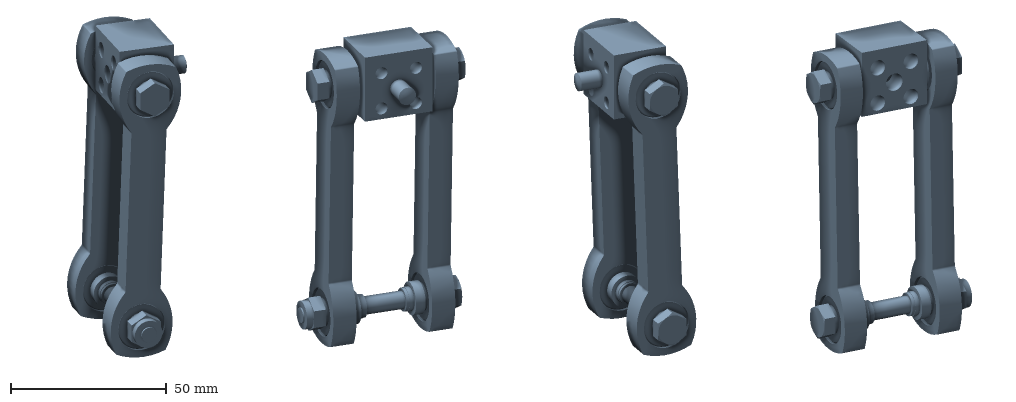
import cadquery as cq
import math

overall_height = 102.9
pivot_spacing = 80.3
link_tilt = 2.1
tilt_angle = math.radians(link_tilt)

link_width = 8.0
link_inner_face = 13.1
link_outer_face = link_inner_face + link_width
head_half_width = 10.5
head_side_radius = 19.6
head_end_radius = 21.0
head_end_offset = head_end_radius - head_half_width
neck_width = 11.9
link_lowest_point = -(pivot_spacing - head_end_offset) * math.cos(tilt_angle) - head_end_radius
head_corner_fillet = 0.6
neck_corner_fillet = 1.0
bearing_diameter = 16.0
bearing_recess = 0.7
bearing_chamfer = 0.4

axle_shift = -0.1
collar_outer_face = 12.8
shoulder_diameter = 9.5
hex_inner_face = 21.5
hex_outer_face = 25.6
hex_across_flats = 10.0
hex_corner_diameter = hex_across_flats / math.cos(math.pi / 6)
hex_face_diameter = 9.9
hex_chamfer_height = 0.3

block_width = 23.4
block_back = 11.3
block_front = -7.1
block_depth = block_back - block_front
block_top = overall_height + link_lowest_point
block_height = 22.2
block_collar_diameter = 14.0
screw_hole_diameter = 4.1
screw_counterbore_diameter = 5.2
screw_counterbore_depth = 9.3
screw_spacing_x = 11.9
screw_spacing_z = 12.2

pin_diameter = 6.0
pin_height = -0.2
pin_back_end = 19.5
pin_length = 20.0
pin_dome_height = 0.7

rod_diameter = 6.0
rod_collar_diameter = 11.0
rod_collar_inner_face = 9.5
rod_step_diameter = 8.0
rod_step_inner_face = 6.8
rod_tip_diameter = 7.7
rod_tip_length = 1.0
stud_diameter = 9.4
stud_end = 27.9
stud_tip_diameter = 5.0
stud_tip_end = 28.4


def cylinder_x(diameter, x_start, x_end, y=0, z=0):
    """Cylinder parallel to the X axis between two X positions."""
    return cq.Workplane("YZ", origin=(x_start, y, z)).circle(diameter / 2).extrude(x_end - x_start)


def on_side(body, side):
    """Body built at +X (side 1), or its mirror image at -X (side -1)."""
    return body if side > 0 else body.mirror("YZ")



def head_outline():
    """Barrel-shaped link head about the X axis: two side discs and one end disc in common."""
    side_offset = head_side_radius - head_half_width
    head = cylinder_x(2 * head_end_radius, link_inner_face, link_outer_face, z=-head_end_offset)
    for y in (-side_offset, side_offset):
        head = head.intersect(cylinder_x(2 * head_side_radius, link_inner_face, link_outer_face, y=y))
    return head.edges("|X").edges(">Z").fillet(head_corner_fillet)


def bearing_cut():
    """Bore for the axle, with the sunk and chamfered bearing face on both link sides."""
    seat = cylinder_x(bearing_diameter, link_inner_face, link_outer_face)
    bearing = cylinder_x(
        bearing_diameter, link_inner_face + bearing_recess, link_outer_face - bearing_recess
    ).faces("<X or >X").chamfer(bearing_chamfer)
    bore = cylinder_x(shoulder_diameter, link_inner_face, link_outer_face)
    return seat.cut(bearing.cut(bore))


def make_link(side):
    """Link with its upper pivot on the X axis."""
    upper_head = head_outline()
    lower_head = upper_head.mirror("XY").translate((0, 0, -pivot_spacing))
    neck = cq.Workplane("XY").box(link_width, neck_width, pivot_spacing).translate(
        (link_inner_face + link_width / 2, 0, -pivot_spacing / 2)
    )
    link = neck.union(upper_head).union(lower_head)

    neck_corners = cq.selectors.BoxSelector(
        (link_inner_face - 1, -neck_width / 2 - 0.1, -pivot_spacing + head_half_width),
        (link_outer_face + 1, neck_width / 2 + 0.1, -head_half_width),
    )
    link = link.edges("|X").edges(neck_corners).fillet(neck_corner_fillet)

    for z in (0, -pivot_spacing):
        link = link.cut(bearing_cut().translate((0, 0, z)))
    return on_side(link.rotate((0, 0, 0), (1, 0, 0), -link_tilt), side)



def make_hex(side):
    """Hexagon with a corner pointing up; the -X one has its outer corners turned down."""
    hexagon = (
        cq.Workplane("YZ", origin=(hex_inner_face, 0, 0))
        .polygon(6, hex_corner_diameter)
        .extrude(hex_outer_face - hex_inner_face)
        .rotate((0, 0, 0), (1, 0, 0), 90)
    )
    if side < 0:
        turned = cylinder_x(hex_corner_diameter, hex_inner_face, hex_outer_face)
        turned = turned.faces(">X").chamfer(
            hex_chamfer_height, (hex_corner_diameter - hex_face_diameter) / 2
        )
        hexagon = hexagon.intersect(turned)
    return on_side(hexagon, side)


def make_axle_end(side):
    """Shoulder that passes through the link, with the hexagon outside it."""
    shoulder = cylinder_x(shoulder_diameter, side * collar_outer_face, side * hex_inner_face)
    return shoulder.union(make_hex(side))



def make_block():
    block = cq.Workplane("XY").box(block_width, block_depth, block_height).translate(
        (0, block_back - block_depth / 2, block_top - block_height / 2)
    )
    for side in (-1, 1):
        collar = cylinder_x(block_collar_diameter, side * block_width / 4, side * collar_outer_face)
        trunnion = collar.union(make_axle_end(side))
        block = block.union(trunnion.translate((axle_shift, 0, 0)))

    front = cq.Workplane("XZ", origin=(0, block_front, pin_height))
    screw_centres = front.rect(screw_spacing_x, screw_spacing_z, forConstruction=True).vertices()
    screw_holes = screw_centres.circle(screw_hole_diameter / 2).extrude(-block_depth)
    counterbores = screw_centres.circle(screw_counterbore_diameter / 2).extrude(-screw_counterbore_depth)
    pin_hole = front.circle(pin_diameter / 2).extrude(-block_depth)
    return block.cut(screw_holes).cut(counterbores).cut(pin_hole)



def make_pin():
    """Dowel along Y with a shallow dome on both ends."""
    radius = pin_diameter / 2
    front_end = pin_back_end - pin_length
    dome_radius = (radius**2 + pin_dome_height**2) / (2 * pin_dome_height)
    mid_radius = radius / 2
    mid_drop = dome_radius - math.sqrt(dome_radius**2 - mid_radius**2)
    half_profile = (
        cq.Workplane("XY")
        .moveTo(0, front_end)
        .threePointArc((mid_radius, front_end + mid_drop), (radius, front_end + pin_dome_height))
        .lineTo(radius, pin_back_end - pin_dome_height)
        .threePointArc((mid_radius, pin_back_end - mid_drop), (0, pin_back_end))
        .close()
    )
    return half_profile.revolve(360, (0, 0, 0), (0, 1, 0)).translate((0, 0, pin_height))



def make_lower_axle():
    axle = cylinder_x(rod_diameter, -collar_outer_face, collar_outer_face)
    for side in (-1, 1):
        for diameter, inner_face in (
            (rod_collar_diameter, rod_collar_inner_face),
            (rod_step_diameter, rod_step_inner_face + rod_tip_length),
            (rod_tip_diameter, rod_step_inner_face),
        ):
            axle = axle.union(cylinder_x(diameter, side * inner_face, side * collar_outer_face))
        axle = axle.union(make_axle_end(side))
    axle = axle.union(cylinder_x(stud_diameter, hex_outer_face, stud_end))
    axle = axle.union(cylinder_x(stud_tip_diameter, stud_end, stud_tip_end))

    lower_pivot_y = -pivot_spacing * math.sin(tilt_angle)
    lower_pivot_z = -pivot_spacing * math.cos(tilt_angle)
    return axle.translate((axle_shift, lower_pivot_y, lower_pivot_z))


block = make_block()
pin = make_pin()
lower_axle = make_lower_axle()
links = [make_link(side) for side in (-1, 1)]

result = cq.Compound.makeCompound(
    [block.val(), pin.val(), lower_axle.val(), *[link.val() for link in links]]
)